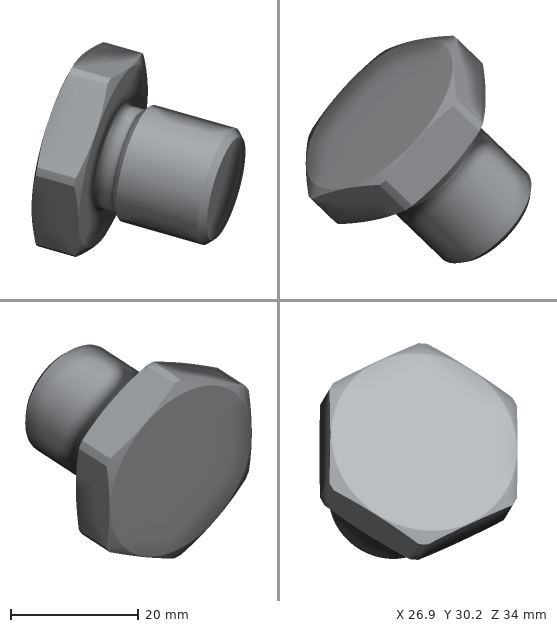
import cadquery as cq
import math

across_flats = 30.15
corner_diameter = 34.05
head_thickness = 8.0
face_diameter = 29.9
chamfer_angle = 20.0

total_length = 26.95
shank_diameter = 19.05
shank_start = 12.15
tip_chamfer = 1.1

neck_diameter = 16.85
neck_fillet = 0.6

corner_radius = corner_diameter / 2
face_radius = face_diameter / 2
shank_radius = shank_diameter / 2
neck_radius = neck_diameter / 2
chamfer_length = (corner_radius - face_radius) * math.tan(math.radians(chamfer_angle))
neck_end = shank_start - (shank_radius - neck_radius)


def make_head():
    """Hexagon with corners pointing along Z, trimmed by a disc coned on both faces."""
    hexagon = (
        cq.Workplane("YZ")
        .polygon(6, across_flats / math.cos(math.pi / 6))
        .extrude(head_thickness)
        .rotate((0, 0, 0), (1, 0, 0), 90)
    )
    disc = (
        cq.Workplane("XY")
        .lineTo(0, face_radius)
        .lineTo(chamfer_length, corner_radius)
        .lineTo(head_thickness - chamfer_length, corner_radius)
        .lineTo(head_thickness, face_radius)
        .lineTo(head_thickness, 0)
        .close()
        .revolve(360, (0, 0, 0), (1, 0, 0))
    )
    return hexagon.intersect(disc)


def make_shank():
    """Neck with a fillet at the head, 45 degree shoulder and chamfered tip."""
    return (
        cq.Workplane("XY")
        .moveTo(head_thickness, 0)
        .lineTo(head_thickness, neck_radius + neck_fillet)
        .radiusArc((head_thickness + neck_fillet, neck_radius), -neck_fillet)
        .lineTo(neck_end, neck_radius)
        .lineTo(shank_start, shank_radius)
        .lineTo(total_length - tip_chamfer, shank_radius)
        .lineTo(total_length, shank_radius - tip_chamfer)
        .lineTo(total_length, 0)
        .close()
        .revolve(360, (0, 0, 0), (1, 0, 0))
    )


result = make_head().union(make_shank())